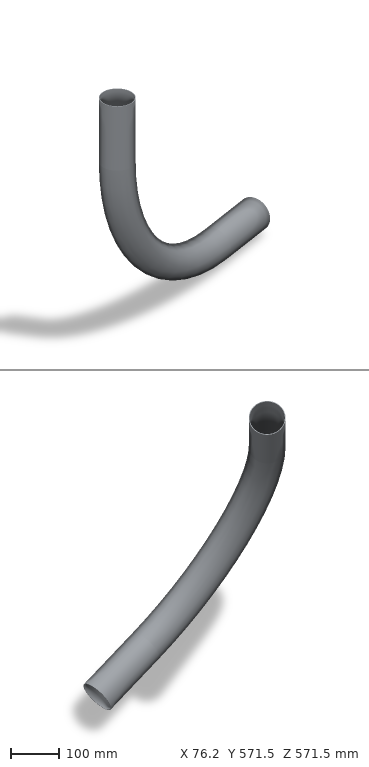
import cadquery as cq

outer_diameter = 76.2
inner_diameter = 73.0

bend_radius = 5 * outer_diameter
leg_length = 2 * outer_diameter
bend_angle = 90


def straight_leg(end_plane):
    """Straight tube running from the given plane along its normal."""
    return (
        cq.Workplane(end_plane)
        .circle(outer_diameter / 2)
        .circle(inner_diameter / 2)
        .extrude(leg_length)
    )


def quarter_bend():
    """Tube bend from the top of the arc down to the start of the horizontal leg."""
    return (
        cq.Workplane("XY", origin=(0, 0, bend_radius))
        .circle(outer_diameter / 2)
        .circle(inner_diameter / 2)
        .revolve(bend_angle, (0, bend_radius, 0), (1, bend_radius, 0))
    )


vertical_leg_plane = cq.Plane(origin=(0, 0, bend_radius), xDir=(1, 0, 0), normal=(0, 0, 1))
horizontal_leg_plane = cq.Plane(origin=(0, bend_radius, 0), xDir=(1, 0, 0), normal=(0, 1, 0))

result = (
    quarter_bend()
    .union(straight_leg(vertical_leg_plane))
    .union(straight_leg(horizontal_leg_plane))
)